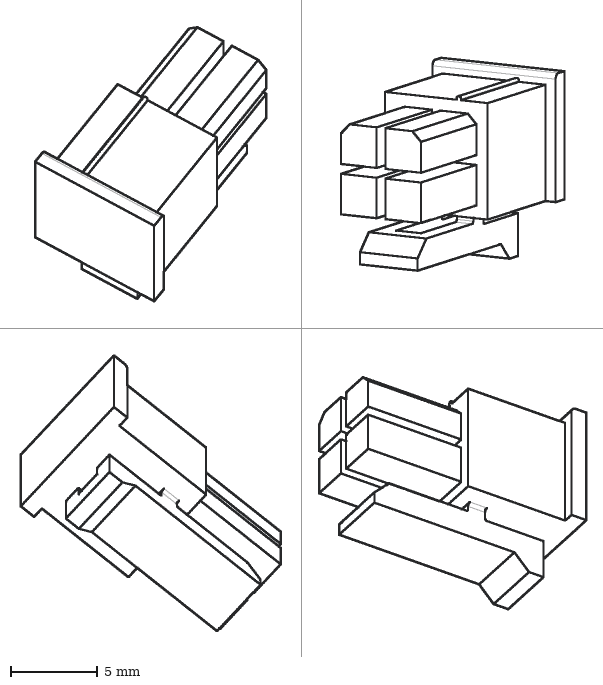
import cadquery as cq

flange_width = 8.26
flange_thickness = 1.02
flange_top = 10.85
flange_lip_radius = 0.31

housing_bottom = 3.29
body_width = 6.89
body_top = 10.15
body_back = 7.65

rib_x = -1.51
rib_radius = 0.15
rib_straight_height = 0.07

tower_size = 2.4
tower_gap = 0.57
tower_chamfer = 0.57
tower_back = 14.0
tower_bottom = 4.05
tower_pitch = tower_size + tower_gap

latch_width = 3.86
latch_front = 1.55
latch_back = 13.1
latch_front_top = 2.53
latch_back_top = 2.76
latch_underside = 1.02
hook_slope = 1.0
hook_tip_back = 2.55
tail_chamfer = 1.01

stem_front = 5.55
stem_back = 6.7
stem_base_radius = 0.14
stem_root_radius = 0.2

slot_width = 1.65
slot_floor = 1.64
slot_back = 10.84


def block(width, y_min, y_max, z_min, z_max, x_center=0.0):
    """Box centred on x_center, spanning the given Y and Z limits."""
    return (
        cq.Workplane("XY")
        .box(width, y_max - y_min, z_max - z_min, centered=(True, False, False))
        .translate((x_center, y_min, z_min))
    )


def make_housing():
    flange = block(flange_width, 0, flange_thickness, housing_bottom, flange_top)
    flange = flange.edges("|X and >Y and >Z").fillet(flange_lip_radius)
    body = block(body_width, flange_thickness, body_back, housing_bottom, body_top)
    return flange.union(body)


def make_rib():
    shoulder = body_top + rib_straight_height
    return (
        cq.Workplane("XZ", origin=(0, body_back, 0))
        .moveTo(rib_x - rib_radius, body_top)
        .lineTo(rib_x - rib_radius, shoulder)
        .threePointArc((rib_x, shoulder + rib_radius), (rib_x + rib_radius, shoulder))
        .lineTo(rib_x + rib_radius, body_top)
        .close()
        .extrude(body_back - flange_thickness)
    )


def make_tower(side, row):
    """One tower; side is -1 or 1 along X, row is 0 (lower) or 1 (upper)."""
    z_min = tower_bottom + row * tower_pitch
    tower = block(
        tower_size, body_back, tower_back, z_min, z_min + tower_size, side * tower_pitch / 2
    )
    if row == 1:
        outer_edge = "|Y and >Z and >X" if side > 0 else "|Y and >Z and <X"
        tower = tower.edges(outer_edge).chamfer(tower_chamfer)
    return tower


def make_stem_root(side):
    """Concave fillet flaring one side of the stem into the housing."""
    x_side = side * latch_width / 2
    x_flare = x_side + side * stem_root_radius
    z_start = housing_bottom - stem_root_radius
    arc_offset = stem_root_radius * (1 - 0.5**0.5)
    return (
        cq.Workplane("XZ", origin=(0, stem_back, 0))
        .moveTo(x_side, z_start)
        .threePointArc(
            (x_side + side * arc_offset, housing_bottom - arc_offset),
            (x_flare, housing_bottom),
        )
        .lineTo(x_side, housing_bottom)
        .close()
        .extrude(stem_back - stem_front)
    )


def make_latch():
    profile = [
        (hook_tip_back, 0),
        (hook_tip_back + hook_slope, latch_underside),
        (latch_back, latch_underside),
        (latch_back, latch_back_top - tail_chamfer),
        (latch_back - tail_chamfer, latch_back_top),
        (stem_back, latch_back_top),
        (stem_back, housing_bottom),
        (stem_front, housing_bottom),
        (stem_front, latch_front_top),
        (latch_front, latch_front_top),
        (latch_front, 0),
    ]
    latch = cq.Workplane("YZ").polyline(profile).close().extrude(latch_width / 2, both=True)
    for y, z in ((stem_back, latch_back_top), (stem_front, latch_front_top)):
        base_edge = cq.selectors.NearestToPointSelector((0, y, z))
        latch = latch.edges(base_edge).fillet(stem_base_radius)
    for side in (-1, 1):
        latch = latch.union(make_stem_root(side))
    return latch.cut(block(slot_width, latch_front, slot_back, slot_floor, housing_bottom))


result = make_housing().union(make_rib()).union(make_latch())
for tower_side in (-1, 1):
    for tower_row in (0, 1):
        result = result.union(make_tower(tower_side, tower_row))